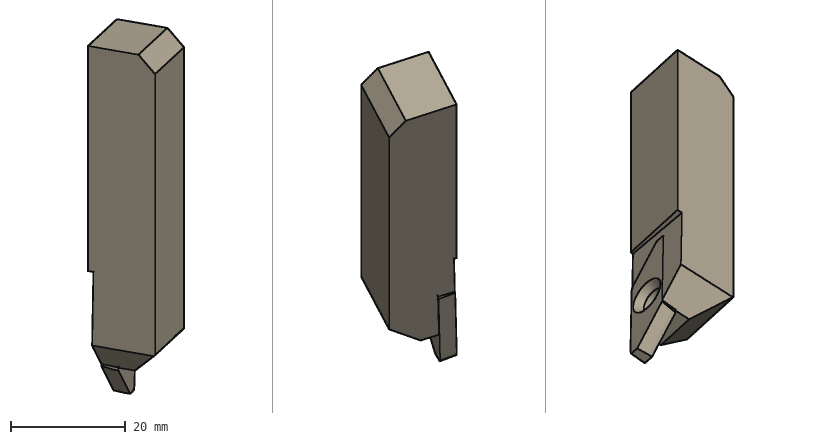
import cadquery as cq
import math

total_length = 70.0
shank_width = 12.75
half_width = shank_width / 2
top_chamfer = 3.15
holder_bottom = 7.4
back_chamfer = 5.95
front_slope_height = 5.75
flank_angle = 49.0
relief_top = 27.15

tilt_along_z = 1.0
tilt_along_y = 2.4

insert_thickness = 3.2
insert_overhang = 0.15
insert_width = 8.1
insert_bottom = 0.055
insert_top = 25.1
tip_flat = 1.9
heel_flat = 1.75
tip_chamfer_width = 0.2
tip_chamfer_height = 0.85
flank_lean = 0.2
flank_lean_depth = 2.3

hole_from_edge = 3.9
hole_height = 12.45
hole_diameter = 4.9
countersink_diameter = 7.1
countersink_depth = 1.55

slope_y = math.tan(math.radians(tilt_along_y))
slope_z = math.tan(math.radians(tilt_along_z))
seat_plane = cq.Plane(
    origin=(0, half_width, 0),
    xDir=(slope_y, -1, 0),
    normal=(-1, -slope_y, slope_z),
)


def make_flank_cutter(flank_start):
    """Long thin wedge that leans the lower flank back toward the insert face."""
    cosine = math.cos(math.radians(flank_angle))
    sine = math.sin(math.radians(flank_angle))
    along_flank = seat_plane.xDir * cosine + seat_plane.yDir * sine
    away_from_flank = seat_plane.xDir * sine - seat_plane.yDir * cosine
    wedge_plane = cq.Plane(
        origin=seat_plane.toWorldCoords(flank_start),
        xDir=away_from_flank,
        normal=along_flank,
    )
    wedge = [(0, 0), (-flank_lean, 0), (0, flank_lean_depth)]
    half_length = 2 * insert_width
    return cq.Workplane(wedge_plane).polyline(wedge).close().extrude(half_length, both=True)


def make_insert_blank():
    """Long parallelogram plate with blunted ends and a leaning lower flank, without its hole."""
    edge = -insert_overhang
    back = edge + insert_width
    tip_start = edge + tip_chamfer_width
    tip_end = tip_start + tip_flat
    heel_start = back - heel_flat
    flank_slope = math.tan(math.radians(flank_angle))
    flank_start = (tip_end, insert_bottom)
    outline = [
        (edge, insert_bottom + tip_chamfer_height),
        (tip_start, insert_bottom),
        flank_start,
        (back, insert_bottom + (back - tip_end) * flank_slope),
        (back, insert_top),
        (heel_start, insert_top),
        (edge, insert_top - (heel_start - edge) * flank_slope),
    ]
    plate = cq.Workplane(seat_plane).polyline(outline).close().extrude(-insert_thickness)
    return plate.cut(make_flank_cutter(flank_start))


def make_insert():
    """Insert plate with a countersunk through hole."""
    hole_plane = cq.Workplane(seat_plane).center(hole_from_edge, hole_height)
    hole = hole_plane.circle(hole_diameter / 2).extrude(-insert_thickness)
    countersink = cq.Workplane(
        cq.Solid.makeCone(
            countersink_diameter / 2,
            hole_diameter / 2,
            countersink_depth,
            pnt=hole_plane.plane.origin,
            dir=-seat_plane.zDir,
        )
    )
    return make_insert_blank().cut(hole).cut(countersink)


def make_shank():
    """Square bar with chamfers on the upper and lower +X edges."""
    profile = [
        (0, holder_bottom),
        (shank_width - back_chamfer, holder_bottom),
        (shank_width, holder_bottom + back_chamfer),
        (shank_width, total_length - top_chamfer),
        (shank_width - top_chamfer, total_length),
        (0, total_length),
    ]
    return cq.Workplane("XZ").polyline(profile).close().extrude(half_width, both=True)


def make_front_slope_cutter():
    """Wedge that slopes off the lower -Y edge of the shank."""
    slope_run = front_slope_height / math.tan(math.radians(flank_angle))
    wedge = [
        (-half_width, holder_bottom),
        (-half_width + slope_run, holder_bottom),
        (-half_width, holder_bottom + front_slope_height),
    ]
    return cq.Workplane("YZ").polyline(wedge).close().extrude(shank_width)


def make_seat_relief_cutter():
    """Block in front of the tilted seat face, below the relief step."""
    block_width = 2 * shank_width
    block_depth = shank_width / 2
    return (
        cq.Workplane(seat_plane)
        .center(half_width, relief_top / 2)
        .rect(block_width, relief_top)
        .extrude(block_depth)
    )


def make_holder():
    """Shank with its end cuts and a pocket that fits the insert."""
    return (
        make_shank()
        .cut(make_front_slope_cutter())
        .cut(make_seat_relief_cutter())
        .cut(make_insert_blank())
    )


holder = make_holder()
insert = make_insert()

result = cq.Compound.makeCompound([holder.val(), insert.val()])